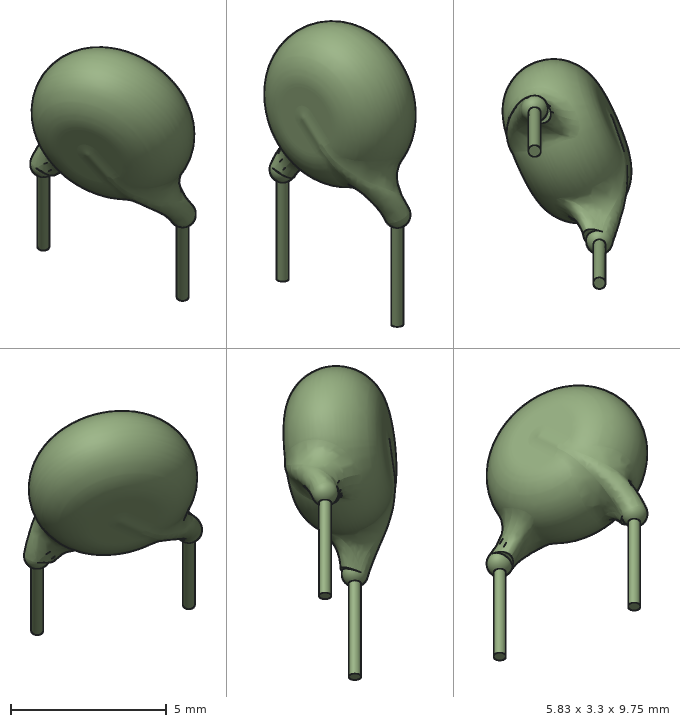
import cadquery as cq

body_radius = 2.73
half_thickness = 1.6
face_radius = body_radius - half_thickness

lead_pitch = 4.97
lead_diameter = 0.4
total_height = 9.75
lead_bottom_z = body_radius - total_height
lead_x = lead_pitch / 2

sleeve_radius = 0.43
ridge_height = 0.05
ridge_y = sleeve_radius - half_thickness - ridge_height
ridge_start = cq.Vector(-0.08, ridge_y, 0.04)
ridge_direction = cq.Vector(1, 0, -1)
ridge_length = 0.975
tip = cq.Vector(lead_x, 0, -3.12)
tip_direction = cq.Vector(0.25, 0.35, -1)
run_out = 1.95
blend_radius = 1.5

touch = 0.001
smooth_cosine = 0.9999


def make_disc():
    """Disc with flat faces and a fully rounded rim."""
    return (
        cq.Workplane("XY")
        .moveTo(0, -half_thickness)
        .lineTo(face_radius, -half_thickness)
        .radiusArc((face_radius, half_thickness), -half_thickness)
        .lineTo(0, half_thickness)
        .close()
        .revolve(360, (0, 0, 0), (0, 1, 0))
    )


def make_sleeve():
    """Round sleeve: straight along the face, then curving in to the lead and running on past the tip."""
    slope = ridge_direction.normalized()
    down = tip_direction.normalized()
    ridge_end = ridge_start + slope * ridge_length
    path = cq.Wire.assembleEdges([
        cq.Edge.makeLine(ridge_start, ridge_end),
        cq.Edge.makeSpline([ridge_end, tip], tangents=[slope, down]),
        cq.Edge.makeLine(tip, tip + down * run_out),
    ])
    start_plane = cq.Plane(ridge_start, xDir=(0, 1, 0), normal=slope)
    rod = cq.Workplane(start_plane).circle(sleeve_radius).sweep(cq.Workplane(path))
    return rod.union(ball_at(ridge_start))


def ball_at(centre):
    """Ball that rounds off an end of the sleeve."""
    return cq.Workplane("XY").sphere(sleeve_radius).translate(centre)


def seam_edges(joined, body, sleeve):
    """Edges where the sleeve meets the body at an angle."""
    seams = []
    for edge in joined.edges().vals():
        middle = edge.positionAt(0.5)
        point = cq.Vertex.makeVertex(*middle.toTuple())
        gaps = [point.distance(part.val().Shells()[0]) for part in (body, sleeve)]
        if max(gaps) > touch:
            continue
        normals = [
            face.normalAt(middle)
            for face in joined.faces().vals()
            if any(edge.isSame(side) for side in face.Edges())
        ]
        if len(normals) == 2 and normals[0].dot(normals[1]) < smooth_cosine:
            seams.append(edge)
    return seams


def blend_sleeve(body, sleeve):
    """Join a sleeve to the body with a large concave fillet along the seam."""
    joined = body.union(sleeve)
    return joined.newObject(seam_edges(joined, body, sleeve)).fillet(blend_radius)


def make_trim():
    """Cutter that takes off the part of the sleeve past its tip."""
    tip_plane = cq.Plane(tip, xDir=(0, 1, 0), normal=tip_direction)
    return cq.Workplane(tip_plane).circle(2 * sleeve_radius).extrude(2 * run_out)


def make_lead():
    """Straight lead from inside the sleeve tip down to the bottom."""
    return (
        cq.Workplane("XY", origin=(lead_x, 0, lead_bottom_z))
        .circle(lead_diameter / 2)
        .extrude(tip.z - lead_bottom_z)
    )


def turned(shape, angle):
    """Shape turned about the Z axis."""
    return shape.rotate((0, 0, 0), (0, 0, 1), angle)


result = make_disc()
for angle in (0, 180):
    result = blend_sleeve(result, turned(make_sleeve(), angle))
    result = result.cut(turned(make_trim(), angle))
    result = result.union(turned(ball_at(tip), angle))
    result = result.union(turned(make_lead(), angle))